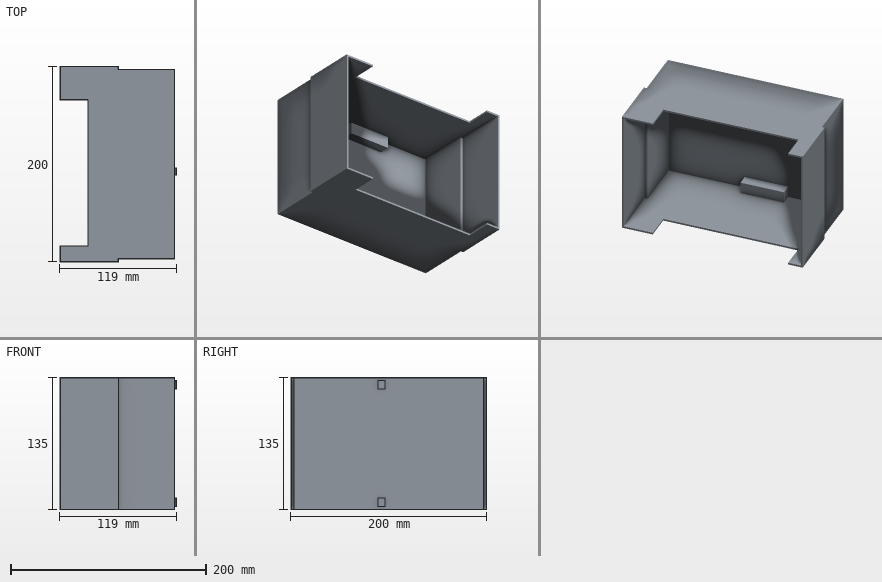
import cadquery as cq

overall_depth = 119.0
width = 200.0
height = 135.0
nub_projection = 1.8
body_depth = overall_depth - nub_projection
wall = 2.0

front_depth = 59.5
side_step = 3.0

notch_depth = 28.5
notch_y_min = -83.8
notch_y_max = 65.8

block_depth = 11.5
block_y_min = -36.8
block_y_max = 11.2
block_height = 12.5

nub_y_min = -11.2
nub_y_max = -3.8
nub_height = 8.5
nub_edge_gap = 3.0


def box(x_min, x_max, y_min, y_max, z_min, z_max):
    """Make a box from its limits along each axis."""
    size = (x_max - x_min, y_max - y_min, z_max - z_min)
    return cq.Workplane("XY").box(*size, centered=False).translate((x_min, y_min, z_min))


def stepped_shell():
    """Make the open-fronted housing with its narrower rear section."""
    front_half = width / 2
    rear_half = front_half - side_step
    outer = box(0, front_depth, -front_half, front_half, 0, height)
    outer = outer.union(box(0, body_depth, -rear_half, rear_half, 0, height))

    front_cavity = box(0, front_depth - wall, -front_half + wall, front_half - wall, wall, height - wall)
    rear_cavity = box(0, body_depth - wall, -rear_half + wall, rear_half - wall, wall, height - wall)
    return outer.cut(front_cavity).cut(rear_cavity)


def top_and_bottom(bottom_feature):
    """Pair a bottom feature with its mirror image at the top."""
    mid_height = (0, 0, height / 2)
    return bottom_feature.union(bottom_feature.mirror("XY", mid_height))


notches = box(0, notch_depth, notch_y_min, notch_y_max, 0, height)

inner_back = body_depth - wall
bottom_block = box(inner_back - block_depth, inner_back, block_y_min, block_y_max, wall, wall + block_height)
bottom_nub = box(
    body_depth, overall_depth, nub_y_min, nub_y_max, nub_edge_gap, nub_edge_gap + nub_height
)

result = (
    stepped_shell()
    .cut(notches)
    .union(top_and_bottom(bottom_block))
    .union(top_and_bottom(bottom_nub))
)